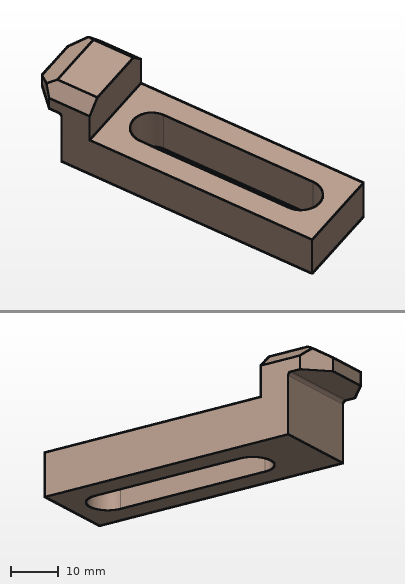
import cadquery as cq

length = 70.0
width = 20.0
height = 20.0

base_height = height / 2
nose_overhang = 8.0
head_length = 15.0
nose_bottom = 13.9
undercut_radius = 0.7

nose_bevel_length = 5.1
bevel_height = 3.0
side_bevel_width = 3.0
corner_cut = 5.0

slot_start = 19.45
slot_end = 65.45
slot_width = 9.1


def stepped_body():
    """Base bar and overhanging head, with a sloped nose."""
    profile = (
        cq.Workplane("XZ")
        .moveTo(nose_overhang, 0)
        .lineTo(length, 0)
        .lineTo(length, base_height)
        .lineTo(head_length, base_height)
        .lineTo(head_length, height)
        .lineTo(nose_bevel_length, height)
        .lineTo(0, height - bevel_height)
        .lineTo(0, nose_bottom)
        .lineTo(nose_overhang - undercut_radius, nose_bottom)
        .radiusArc((nose_overhang, nose_bottom - undercut_radius), undercut_radius)
        .close()
    )
    return profile.extrude(width / 2, both=True)


def side_bevel(side):
    """Wedge removed along one upper edge of the head; side is -1 or 1."""
    edge = side * width / 2
    return (
        cq.Workplane("YZ")
        .moveTo(edge, height)
        .lineTo(edge - side * side_bevel_width, height)
        .lineTo(edge, height - bevel_height)
        .close()
        .extrude(head_length)
    )


def nose_corner(side):
    """Upright wedge removed from one front corner of the nose."""
    edge = side * width / 2
    return (
        cq.Workplane("XY")
        .moveTo(0, edge)
        .lineTo(corner_cut, edge)
        .lineTo(0, edge - side * corner_cut)
        .close()
        .extrude(height)
    )


def clamping_slot():
    """Round-ended slot through the base."""
    return (
        cq.Workplane("XY")
        .center((slot_start + slot_end) / 2, 0)
        .slot2D(slot_end - slot_start, slot_width)
        .extrude(base_height)
    )


result = stepped_body().cut(clamping_slot())
for side in (-1, 1):
    result = result.cut(side_bevel(side)).cut(nose_corner(side))